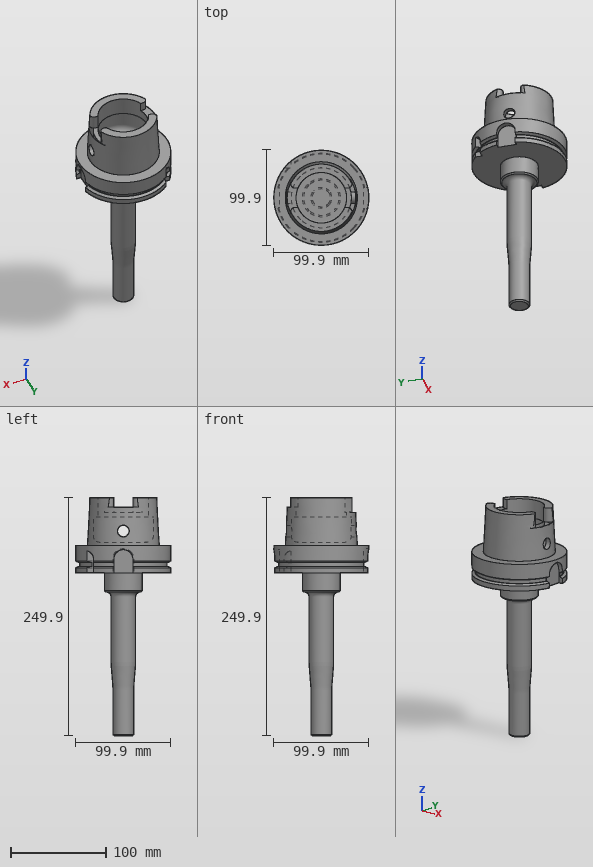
import cadquery as cq
import math

nose_top = 50.0
flange_bottom = -29.0
shank_bottom = -199.9

nose_top_radius = 35.3
nose_base_radius = 37.9
mouth_radius = 53.06 / 2
undercut_radius = 63.09 / 2
floor_radius = 25.0
mouth_depth = 20.0
undercut_bottom = 9.8
floor_fillet = undercut_radius - floor_radius
floor_level = undercut_bottom - floor_fillet
cross_hole_diameter = 12.0
cross_hole_level = 15.0

rim_slot_half_width = 10.0
rim_slot_depth_minus_x = 10.0
rim_slot_depth_plus_x = 15.3
tenon_end_x = 32.2
tenon_corner_radius = 5.0
tenon_relief_end_angle = math.radians(33)

flange_radius = 99.93 / 2
groove_radius = 46.0
groove_level = -20.0
groove_half_width = 2.0
groove_mouth_half_width = 3.6
groove_bevel_radius = 46.8

arch_radius_minus_x = 10.0
arch_radius_plus_x = 11.0
arch_center_level = -14.5
drive_slot_floor = 44.0
notch_radius = 9.0
notch_center_y = 40.3
notch_floor_x = 32.0

collar_radius = 20.0
collar_bottom = -49.0
collar_chamfer = 1.5
neck_radius = 13.0
neck_fillet = 5.0
tip_radius = 11.0
taper_corner_top = -124.8
taper_corner_bottom = -150.0
taper_blend_radius = 57.0
tip_chamfer = 1.5


def polar_point(radius, angle):
    """Point at a radius and an angle (radians) from the +X axis."""
    return (radius * math.cos(angle), radius * math.sin(angle))


def revolve_profile(profile):
    """Revolve a closed (radius, level) outline about the Z axis."""
    return profile.close().revolve(360, (0, 0, 0), (0, 1, 0))


def make_body():
    """Solid of nose, grooved flange and shank, with tangent blends at both ends of the taper."""
    taper_angle = math.atan2(neck_radius - tip_radius, taper_corner_top - taper_corner_bottom)
    blend_length = taper_blend_radius * math.tan(taper_angle / 2)
    blend_inset = blend_length * math.sin(taper_angle)
    blend_drop = blend_length * math.cos(taper_angle)
    profile = (
        cq.Workplane("XZ")
        .moveTo(0, nose_top)
        .lineTo(nose_top_radius, nose_top)
        .lineTo(nose_base_radius, 0)
        .lineTo(flange_radius, 0)
        .lineTo(flange_radius, groove_level + groove_mouth_half_width)
        .lineTo(groove_bevel_radius, groove_level + groove_half_width)
        .lineTo(groove_radius, groove_level + groove_half_width)
        .lineTo(groove_radius, groove_level - groove_half_width)
        .lineTo(groove_bevel_radius, groove_level - groove_half_width)
        .lineTo(flange_radius, groove_level - groove_mouth_half_width)
        .lineTo(flange_radius, flange_bottom)
        .lineTo(collar_radius, flange_bottom)
        .lineTo(collar_radius, collar_bottom + collar_chamfer)
        .lineTo(collar_radius - collar_chamfer, collar_bottom)
        .lineTo(neck_radius + neck_fillet, collar_bottom)
        .radiusArc((neck_radius, collar_bottom - neck_fillet), -neck_fillet)
        .lineTo(neck_radius, taper_corner_top + blend_length)
        .radiusArc((neck_radius - blend_inset, taper_corner_top - blend_drop), taper_blend_radius)
        .lineTo(tip_radius + blend_inset, taper_corner_bottom + blend_drop)
        .radiusArc((tip_radius, taper_corner_bottom - blend_length), -taper_blend_radius)
        .lineTo(tip_radius, shank_bottom + tip_chamfer)
        .lineTo(tip_radius - tip_chamfer, shank_bottom)
        .lineTo(0, shank_bottom)
    )
    return revolve_profile(profile)


def make_cavity():
    """Blind bore of the nose, undercut below its mouth and rounded into a flat floor."""
    undercut_top = nose_top - mouth_depth
    profile = (
        cq.Workplane("XZ")
        .moveTo(0, nose_top)
        .lineTo(mouth_radius, nose_top)
        .lineTo(mouth_radius, undercut_top)
        .lineTo(undercut_radius, undercut_top)
        .lineTo(undercut_radius, undercut_bottom)
        .radiusArc((floor_radius, floor_level), floor_fillet)
        .lineTo(0, floor_level)
    )
    return revolve_profile(profile)


def make_cross_hole():
    """Hole along X through both walls of the nose."""
    return (
        cq.Workplane("YZ")
        .center(0, cross_hole_level)
        .circle(cross_hole_diameter / 2)
        .extrude(flange_radius, both=True)
    )


def make_rim_slot(side, depth):
    """Slot through the nose rim that widens around the rounded tenon ends."""
    corner_x = tenon_end_x - tenon_corner_radius
    corner_y = rim_slot_half_width + tenon_corner_radius
    corner_angle = math.atan2(corner_y, corner_x)
    relief_radius = math.hypot(corner_x, corner_y) + tenon_corner_radius
    relief_start = polar_point(relief_radius, corner_angle)
    relief_end = polar_point(relief_radius, tenon_relief_end_angle)
    outer_point = polar_point(flange_radius, tenon_relief_end_angle)
    half = (
        cq.Workplane("XY")
        .workplane(offset=nose_top - depth)
        .lineTo(0, rim_slot_half_width)
        .lineTo(corner_x, rim_slot_half_width)
        .radiusArc(relief_start, -tenon_corner_radius)
        .radiusArc(relief_end, -relief_radius)
        .lineTo(*outer_point)
        .lineTo(flange_radius, 0)
        .close()
        .extrude(depth)
    )
    slot = half.union(half.mirror("XZ"))
    return slot if side > 0 else slot.mirror("YZ")


def make_flange_slot(side, arch_radius, center_y, floor_x):
    """Arched slot open at the flange bottom, cut along X down to floor_x."""
    first_edge = center_y - arch_radius
    second_edge = center_y + arch_radius
    arch_top = arch_center_level + arch_radius
    arch = (
        cq.Workplane("YZ")
        .workplane(offset=floor_x)
        .moveTo(first_edge, flange_bottom)
        .lineTo(first_edge, arch_center_level)
        .threePointArc((center_y, arch_top), (second_edge, arch_center_level))
        .lineTo(second_edge, flange_bottom)
        .close()
        .extrude(flange_radius - floor_x)
    )
    return arch if side > 0 else arch.mirror("YZ")


result = make_body().cut(make_cavity()).cut(make_cross_hole())
result = result.cut(make_rim_slot(-1, rim_slot_depth_minus_x))
result = result.cut(make_rim_slot(1, rim_slot_depth_plus_x))
result = result.cut(make_flange_slot(-1, arch_radius_minus_x, 0, drive_slot_floor))
result = result.cut(make_flange_slot(1, arch_radius_plus_x, 0, drive_slot_floor))
result = result.cut(make_flange_slot(-1, notch_radius, notch_center_y, notch_floor_x))